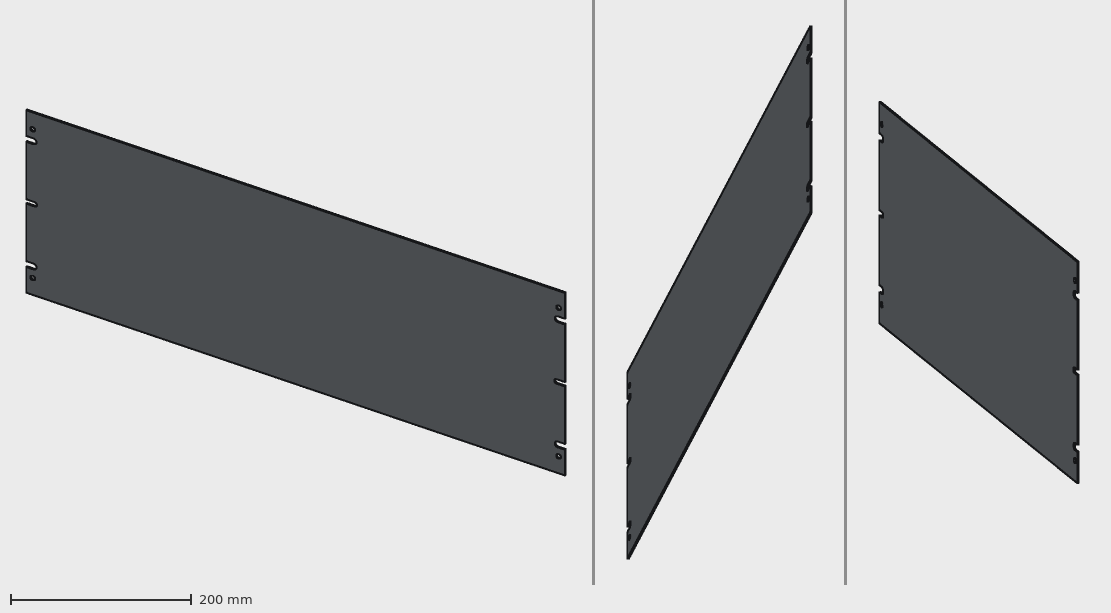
import cadquery as cq

panel_length = 683.0
panel_thickness = 2.0
panel_height = 255.0

outer_slot_depth = 13.0
outer_slot_width = 8.0
outer_slot_offset = 87.5
middle_slot_depth = 14.0
middle_slot_width = 6.0

hole_diameter = 6.0
hole_edge_distance = 8.0
hole_offset = 104.0

half_length = panel_length / 2


def edge_slot(side, height, depth, width):
    """Slot cutter through the edge at side * half_length, centred at the given height."""
    return (
        cq.Workplane("XZ")
        .center(side * half_length, height)
        .slot2D(2 * depth, width)
        .extrude(panel_thickness, both=True)
    )


result = cq.Workplane("XY").box(panel_length, panel_thickness, panel_height)

for side in (-1, 1):
    result = result.cut(edge_slot(side, 0, middle_slot_depth, middle_slot_width))
    for height in (-outer_slot_offset, outer_slot_offset):
        result = result.cut(edge_slot(side, height, outer_slot_depth, outer_slot_width))

hole_spacing_x = panel_length - 2 * hole_edge_distance
hole_spacing_z = 2 * hole_offset
hole_cutters = (
    cq.Workplane("XZ")
    .rect(hole_spacing_x, hole_spacing_z, forConstruction=True)
    .vertices()
    .circle(hole_diameter / 2)
    .extrude(panel_thickness, both=True)
)
result = result.cut(hole_cutters)